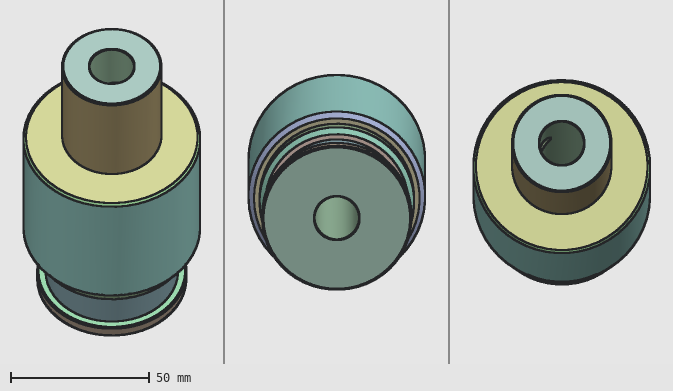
import cadquery as cq

total_height = 120.0
body_diameter = 64.0
shaft_diameter = 36.0
collar_diameter = 55.9
neck_diameter = 48.0
flange_diameter = 54.0
bore_diameter = 16.1

flange_top = 4.8
neck_top = 20.0
collar_top = 27.0
body_top = 80.0

small_chamfer = 0.5
body_top_chamfer = 1.0
shaft_root_radius = 1.2
shoulder_chamfer = 2.0
bore_chamfer = 0.2

cross_hole_diameter = 12.0
cross_hole_height = 95.5


def section(diameter, bottom, top, bottom_chamfer=0.0, top_chamfer=0.0):
    """Upright cylinder between two heights, with optional end chamfers."""
    solid = cq.Workplane("XY").workplane(offset=bottom).circle(diameter / 2).extrude(top - bottom)
    if bottom_chamfer:
        solid = solid.faces("<Z").edges().chamfer(bottom_chamfer)
    if top_chamfer:
        solid = solid.faces(">Z").edges().chamfer(top_chamfer)
    return solid


flange = section(flange_diameter, 0, flange_top, small_chamfer, small_chamfer)
neck = section(neck_diameter, flange_top, neck_top)
collar = section(collar_diameter, neck_top, collar_top, shoulder_chamfer)
body = section(body_diameter, collar_top, body_top, shoulder_chamfer, body_top_chamfer)
shaft = section(shaft_diameter, body_top, total_height, top_chamfer=small_chamfer)
shaft = shaft.faces("<Z").edges().fillet(shaft_root_radius)
stack = flange.union(neck).union(collar).union(body).union(shaft)

bore = section(bore_diameter, 0, total_height)
bored = stack.cut(bore)
bored = bored.faces("<Z or >Z").edges("%CIRCLE").edges(
    cq.selectors.RadiusNthSelector(0)
).chamfer(bore_chamfer)

cross_hole = (
    cq.Workplane("XZ", origin=(0, 0, cross_hole_height))
    .circle(cross_hole_diameter / 2)
    .extrude(-shaft_diameter)
)
result = bored.cut(cross_hole)